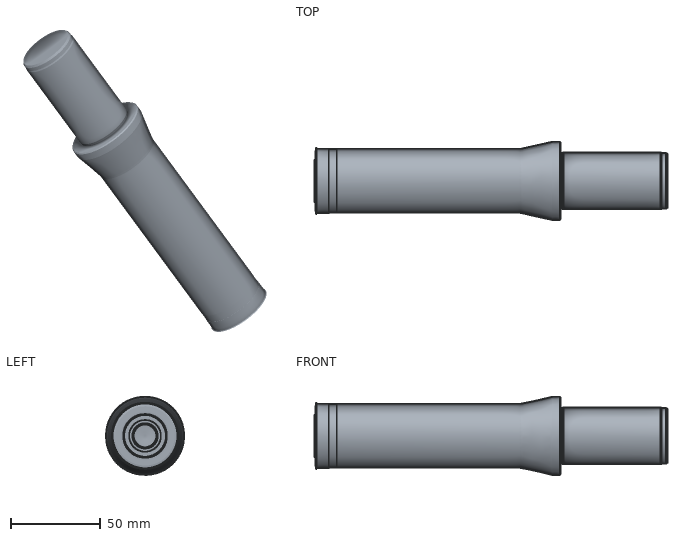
import cadquery as cq

x_left = -99.0
x_right = 99.0
cap_length = 8.0
band_length = 4.8
collar_start = 16.5
collar_lead_length = 1.2
cone_end = 33.5
flange_start = 34.3
flange_end = 39.0
rod_start = 40.8
tip_length = 4.2
tip_bevel = 1.2
shoulder_bevel = 0.8

sleeve_radius = 36.0 / 2
flange_radius = 44.0 / 2
rod_radius = 32.0 / 2
neck_radius = 31.5 / 2
tip_face_radius = 15.0
flange_chamfer = 0.5
band_depth = 0.1
collar_lead_rise = 0.2
cone_edge_drop = 0.2

cap_rise = 0.1
cap_radius = sleeve_radius + cap_rise
lip_radius = 18.6
lip_width = 0.4
face_radius = 16.6
face_bevel = 0.4
boss_base_radius = 12.3
boss_top_radius = 11.7
boss_height = 0.5
recess_radius = 9.0
recess_depth = 0.4
dimple_edge_radius = 7.1
dimple_radius = 6.3
dimple_edge_depth = 0.4
dimple_cone_depth = 0.5

cap_end = x_left + cap_length


def revolve(points):
    """Turn a closed half-profile of (x, radius) points around the X axis."""
    return cq.Workplane("XY").polyline(points).close().revolve(360, (0, 0, 0), (1, 0, 0))


def make_cap():
    """End cap with a thin lip, a raised boss ring and a shallow conical dimple."""
    face = x_left + boss_height
    lip_start = face + face_bevel
    recess_floor = x_left + recess_depth
    dimple_floor = recess_floor + dimple_edge_depth
    return revolve([
        (dimple_floor + dimple_cone_depth, 0),
        (dimple_floor, dimple_radius),
        (recess_floor, dimple_edge_radius),
        (recess_floor, recess_radius),
        (x_left, recess_radius),
        (x_left, boss_top_radius),
        (face, boss_base_radius),
        (face, face_radius),
        (lip_start, lip_radius),
        (lip_start + lip_width, cap_radius),
        (cap_end, cap_radius),
        (cap_end, 0),
    ])


def make_shaft():
    """Sleeve, flared collar with flange, and the smaller rod, in one turned piece."""
    band_end = cap_end + band_length
    tip_start = x_right - tip_length
    return revolve([
        (cap_end, 0),
        (cap_end, sleeve_radius - band_depth),
        (band_end, sleeve_radius - band_depth),
        (band_end, sleeve_radius),
        (collar_start, sleeve_radius),
        (collar_start + collar_lead_length, sleeve_radius + collar_lead_rise),
        (cone_end, flange_radius - cone_edge_drop),
        (flange_start, flange_radius),
        (flange_end - flange_chamfer, flange_radius),
        (flange_end, flange_radius - flange_chamfer),
        (flange_end, neck_radius),
        (rod_start - shoulder_bevel, neck_radius),
        (rod_start, rod_radius),
        (tip_start, rod_radius),
        (tip_start + shoulder_bevel, neck_radius),
        (x_right - tip_bevel, neck_radius),
        (x_right, tip_face_radius),
        (x_right, 0),
    ])


cap = make_cap()
shaft = make_shaft()
result = cq.Compound.makeCompound([cap.val(), shaft.val()])